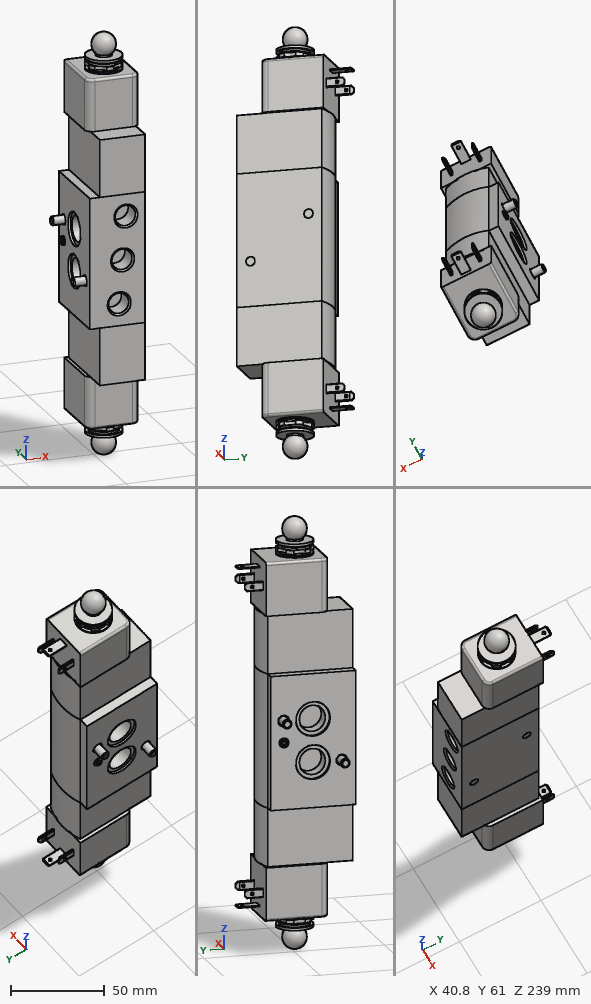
import cadquery as cq
import math


BODY_TOP = 37.0
PILOT_TOP = 69.5
COIL_TOP = 99.2
OVERALL_TOP = 119.5

HALF_WIDTH = 13.0
FRONT_Y = -28.7
SHOULDER_Y = 18.6
CROWN_Y = 21.0

BODY_LEFT_X = -18.6
LEDGE_BACK_Y = 18.5

FRONT_PORT_PITCH = 24.5
FRONT_PORT_OFFSET = 2.0
FRONT_PORT_DIAMETER = 11.5
FRONT_PORT_CHAMFER = 1.0
FRONT_PORT_DEPTH = 12.0

SIDE_PORT_Y = -5.0
SIDE_PORT_Z = 12.0
SIDE_PORT_DIAMETER = 14.3
SIDE_PORT_DEPTH = 9.5
SIDE_RECESS_DIAMETER = 18.9
SIDE_RECESS_DEPTH = 1.5

SCREW_DIAMETER = 5.0
SCREW_RECESS_DIAMETER = 6.0
SCREW_RECESS_DEPTH = 1.2
SCREW_END_X = -25.8
SCREW_CHAMFER = 0.7
PIN_Y = 11.2
SCREW_PLACES = [(PIN_Y, SIDE_PORT_Z), (-21.0, -SIDE_PORT_Z)]
PIN_DIAMETER = 5.0
PIN_PROTRUSION = 1.5
PIN_INSERTION = 2.9
PIN_CHAMFER = 0.7
PIN_BORE_DIAMETER = 2.1

COIL_HALF_WIDTH = 15.0
COIL_BACK_Y = 20.0
COIL_CORNER_RADIUS = 4.3
COIL_EDGE_RADIUS = 1.5

FLANGE_RADIUS = 10.15
FLANGE_TOP = 100.0
NECK_RADIUS = 8.4
LOBE_BOTTOM = 101.0
LOBE_TOP = 103.2
CONE_RADIUS = 9.0
CONE_TOP = 104.2
DISC_BOTTOM = 105.5
DISC_TOP = 106.8
LOBE_COUNT = 6
LOBE_HALF_ANGLE = 12.0
SCALLOP_DEPTH = 1.7
BALL_RADIUS = 6.7
BALL_NECK_DIAMETER = 9.0

BLADE_HOLE_DIAMETER = 1.65
EARTH_Z = 93.7
EARTH_WIDTH = 5.7
EARTH_THICKNESS = 0.7
EARTH_TIP_Y = 32.3
EARTH_TIP_CHAMFER = 0.7
EARTH_BEVEL_HEIGHT = 0.2
EARTH_BEVEL_LENGTH = 0.7
EARTH_HOLE_SETBACK = 3.3
CONTACT_X = 8.5
CONTACT_Z = 84.8
CONTACT_WIDTH = 5.0
CONTACT_THICKNESS = 1.5
CONTACT_TIP_Y = 30.0
CONTACT_TIP_CHAMFER = 1.5
CONTACT_EDGE_CHAMFER = 0.5
CONTACT_BEVEL_WIDTH = 0.7
CONTACT_BEVEL_LENGTH = 2.0
CONTACT_HOLE_SETBACK = 4.0


def crowned_outline(plane):
    """Section with a flat front, straight sides and an arched back."""
    return (
        plane.moveTo(-HALF_WIDTH, FRONT_Y)
        .lineTo(HALF_WIDTH, FRONT_Y)
        .lineTo(HALF_WIDTH, SHOULDER_Y)
        .threePointArc((0, CROWN_Y), (-HALF_WIDTH, SHOULDER_Y))
        .close()
    )


def rod_along_x(x_start, x_end, y, z, diameter):
    return (
        cq.Workplane("YZ", origin=(x_start, y, z))
        .circle(diameter / 2)
        .extrude(x_end - x_start)
    )


def front_port(x, z):
    """Port cutter: a blind bore entering the -Y face through a conical lead-in."""
    radius = FRONT_PORT_DIAMETER / 2
    bottom_y = FRONT_Y + FRONT_PORT_DEPTH
    profile = (
        cq.Workplane("XY", origin=(x, 0, z))
        .moveTo(0, FRONT_Y)
        .lineTo(radius + FRONT_PORT_CHAMFER, FRONT_Y)
        .lineTo(radius, FRONT_Y + FRONT_PORT_CHAMFER)
        .lineTo(radius, bottom_y)
        .lineTo(0, bottom_y)
        .close()
    )
    return profile.revolve(360, (0, 0, 0), (0, 1, 0))


def make_valve_body():
    body = crowned_outline(cq.Workplane("XY", origin=(0, 0, -BODY_TOP))).extrude(2 * BODY_TOP)
    ledge = (
        cq.Workplane("XY", origin=(0, 0, -BODY_TOP))
        .moveTo(BODY_LEFT_X, FRONT_Y)
        .lineTo(-HALF_WIDTH, FRONT_Y)
        .lineTo(-HALF_WIDTH, LEDGE_BACK_Y)
        .lineTo(BODY_LEFT_X, LEDGE_BACK_Y)
        .close()
        .extrude(2 * BODY_TOP)
    )
    body = body.union(ledge)

    for step in (-1, 0, 1):
        body = body.cut(front_port(step * FRONT_PORT_OFFSET, step * FRONT_PORT_PITCH))

    for z in (-SIDE_PORT_Z, SIDE_PORT_Z):
        recess_x = BODY_LEFT_X + SIDE_RECESS_DEPTH
        bore_x = BODY_LEFT_X + SIDE_PORT_DEPTH
        body = body.cut(rod_along_x(BODY_LEFT_X, recess_x, SIDE_PORT_Y, z, SIDE_RECESS_DIAMETER))
        body = body.cut(rod_along_x(BODY_LEFT_X, bore_x, SIDE_PORT_Y, z, SIDE_PORT_DIAMETER))

    for y, z in SCREW_PLACES:
        recess_x = BODY_LEFT_X + SCREW_RECESS_DEPTH
        body = body.cut(rod_along_x(BODY_LEFT_X, recess_x, y, z, SCREW_RECESS_DIAMETER))
        body = body.cut(rod_along_x(BODY_LEFT_X, HALF_WIDTH, y, z, SCREW_DIAMETER))
    return body.cut(rod_along_x(BODY_LEFT_X, BODY_LEFT_X + PIN_INSERTION, PIN_Y, 0, PIN_DIAMETER))


def make_pilot_block():
    """Upper pilot block, between the valve body and the coil."""
    return crowned_outline(cq.Workplane("XY", origin=(0, 0, BODY_TOP))).extrude(PILOT_TOP - BODY_TOP)


def make_screw(y, z):
    screw = rod_along_x(SCREW_END_X, HALF_WIDTH, y, z, SCREW_DIAMETER)
    return screw.faces("<X").chamfer(SCREW_CHAMFER)


def make_locating_pin():
    start_x = BODY_LEFT_X - PIN_PROTRUSION
    end_x = BODY_LEFT_X + PIN_INSERTION
    pin = rod_along_x(start_x, end_x, PIN_Y, 0, PIN_DIAMETER).faces("<X").chamfer(PIN_CHAMFER)
    return pin.cut(rod_along_x(start_x, BODY_LEFT_X, PIN_Y, 0, PIN_BORE_DIAMETER))


def coil_housing():
    depth = COIL_BACK_Y + COIL_HALF_WIDTH
    return (
        cq.Workplane("XY", origin=(0, (COIL_BACK_Y - COIL_HALF_WIDTH) / 2, PILOT_TOP))
        .rect(2 * COIL_HALF_WIDTH, depth)
        .extrude(COIL_TOP - PILOT_TOP)
        .edges("|Z and <Y")
        .fillet(COIL_CORNER_RADIUS)
        .faces(">Z")
        .edges("not >Y")
        .fillet(COIL_EDGE_RADIUS)
    )


def lobed_ring():
    """Grip ring: a lobe faces -Y, and round scallops separate the lobes."""
    pitch_angle = 360 / LOBE_COUNT
    scallop_half_angle = math.radians(pitch_angle / 2 - LOBE_HALF_ANGLE)
    half_chord = FLANGE_RADIUS * math.sin(scallop_half_angle)
    floor_radius = FLANGE_RADIUS - SCALLOP_DEPTH
    sagitta = FLANGE_RADIUS * math.cos(scallop_half_angle) - floor_radius
    scallop_radius = (half_chord**2 + sagitta**2) / (2 * sagitta)
    height = LOBE_TOP - LOBE_BOTTOM
    plane = cq.Workplane("XY", origin=(0, 0, LOBE_BOTTOM))
    scallops = (
        plane.polarArray(floor_radius + scallop_radius, 0, 360, LOBE_COUNT)
        .circle(scallop_radius)
        .extrude(height)
    )
    return plane.circle(FLANGE_RADIUS).extrude(height).cut(scallops)


def retaining_nut():
    core = (
        cq.Workplane("XZ")
        .moveTo(0, COIL_TOP)
        .lineTo(FLANGE_RADIUS, COIL_TOP)
        .lineTo(FLANGE_RADIUS, FLANGE_TOP)
        .lineTo(NECK_RADIUS, FLANGE_TOP)
        .lineTo(NECK_RADIUS, LOBE_TOP)
        .lineTo(CONE_RADIUS, LOBE_TOP)
        .lineTo(NECK_RADIUS, CONE_TOP)
        .lineTo(NECK_RADIUS, DISC_BOTTOM)
        .lineTo(FLANGE_RADIUS, DISC_BOTTOM)
        .lineTo(FLANGE_RADIUS, DISC_TOP)
        .lineTo(0, DISC_TOP)
        .close()
        .revolve(360, (0, 0, 0), (0, 1, 0))
    )
    ball_z = OVERALL_TOP - BALL_RADIUS
    ball = cq.Workplane("XY", origin=(0, 0, ball_z)).sphere(BALL_RADIUS)
    ball_neck = (
        cq.Workplane("XY", origin=(0, 0, DISC_TOP))
        .circle(BALL_NECK_DIAMETER / 2)
        .extrude(ball_z - DISC_TOP)
    )
    return core.union(lobed_ring()).union(ball_neck).union(ball)


def earth_terminal():
    """Flat blade lying across X, with cut corners and a tip bevelled on both faces."""
    length = EARTH_TIP_Y - COIL_BACK_Y
    half_thickness = EARTH_THICKNESS / 2
    tip_half_thickness = half_thickness - EARTH_BEVEL_HEIGHT
    side_profile = (
        cq.Workplane("YZ", origin=(0, COIL_BACK_Y, EARTH_Z))
        .moveTo(0, -half_thickness)
        .lineTo(length - EARTH_BEVEL_LENGTH, -half_thickness)
        .lineTo(length, -tip_half_thickness)
        .lineTo(length, tip_half_thickness)
        .lineTo(length - EARTH_BEVEL_LENGTH, half_thickness)
        .lineTo(0, half_thickness)
        .close()
        .extrude(EARTH_WIDTH / 2, both=True)
    )
    outline = (
        cq.Workplane("XY", origin=(0, COIL_BACK_Y + length / 2, EARTH_Z))
        .box(EARTH_WIDTH, length, EARTH_THICKNESS)
        .edges("|Z and >Y")
        .chamfer(EARTH_TIP_CHAMFER)
    )
    hole = (
        cq.Workplane("XY", origin=(0, EARTH_TIP_Y - EARTH_HOLE_SETBACK, EARTH_Z))
        .circle(BLADE_HOLE_DIAMETER / 2)
        .extrude(EARTH_THICKNESS, both=True)
    )
    return side_profile.intersect(outline).cut(hole)


def contact_terminal(side):
    """Upright blade, parallel to the YZ plane; `side` is -1 or 1 and gives its side in X."""
    inner_x = side * (CONTACT_X - CONTACT_THICKNESS / 2)
    outer_x = side * (CONTACT_X + CONTACT_THICKNESS / 2)
    length = CONTACT_TIP_Y - COIL_BACK_Y
    blade = (
        cq.Workplane("XY")
        .box(CONTACT_THICKNESS, length, CONTACT_WIDTH)
        .edges("|Y")
        .chamfer(CONTACT_EDGE_CHAMFER)
        .translate((side * CONTACT_X, COIL_BACK_Y + length / 2, CONTACT_Z))
    )
    tapered_outline = (
        cq.Workplane("YZ")
        .center(COIL_BACK_Y, CONTACT_Z)
        .moveTo(0, -CONTACT_WIDTH / 2)
        .lineTo(length - CONTACT_TIP_CHAMFER, -CONTACT_WIDTH / 2)
        .lineTo(length, CONTACT_TIP_CHAMFER - CONTACT_WIDTH / 2)
        .lineTo(length, CONTACT_WIDTH / 2 - CONTACT_TIP_CHAMFER)
        .lineTo(length - CONTACT_TIP_CHAMFER, CONTACT_WIDTH / 2)
        .lineTo(0, CONTACT_WIDTH / 2)
        .close()
        .extrude(2 * outer_x)
    )
    inner_bevel = (
        cq.Workplane("XY", origin=(0, 0, CONTACT_Z))
        .moveTo(inner_x, CONTACT_TIP_Y - CONTACT_BEVEL_LENGTH)
        .lineTo(inner_x + side * CONTACT_BEVEL_WIDTH, CONTACT_TIP_Y)
        .lineTo(inner_x, CONTACT_TIP_Y)
        .close()
        .extrude(CONTACT_WIDTH, both=True)
    )
    hole_y = CONTACT_TIP_Y - CONTACT_HOLE_SETBACK
    hole = rod_along_x(inner_x, outer_x, hole_y, CONTACT_Z, BLADE_HOLE_DIAMETER)
    return blade.intersect(tapered_outline).cut(inner_bevel).cut(hole)


def make_coil():
    """Upper coil with its retaining nut, ball and terminals."""
    coil = coil_housing().union(retaining_nut()).union(earth_terminal())
    for side in (-1, 1):
        coil = coil.union(contact_terminal(side))
    return coil


valve_body = make_valve_body()
locating_pin = make_locating_pin()
screws = [make_screw(y, z) for y, z in SCREW_PLACES]

upper_pilot_block = make_pilot_block()
pilot_blocks = [upper_pilot_block, upper_pilot_block.mirror("XY")]

upper_coil = make_coil()
coils = [upper_coil, upper_coil.mirror("XY")]

result = cq.Compound.makeCompound(
    [
        valve_body.val(),
        locating_pin.val(),
        *[screw.val() for screw in screws],
        *[block.val() for block in pilot_blocks],
        *[coil.val() for coil in coils],
    ]
)